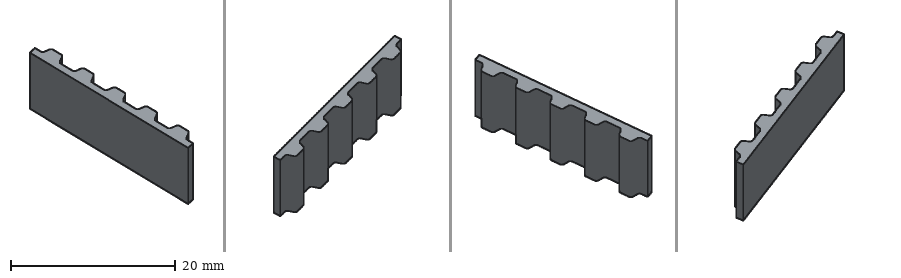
import cadquery as cq
import math

tooth_count = 5
pitch = 5.0
belt_width = 10.0
back_thickness = 1.0
tooth_height = 1.2
tooth_root_width = 2.65
flank_angle = 20.0
root_radius = 0.4
tip_radius = 0.4

belt_length = tooth_count * pitch
tip_level = back_thickness + tooth_height
flank_run = tooth_height * math.tan(math.radians(flank_angle))
root_half = tooth_root_width / 2
tip_half = root_half - flank_run
tooth_centers = [(i - (tooth_count - 1) / 2) * pitch for i in range(tooth_count)]


def tooth_corners(center):
    """Sharp corners of one tooth, from left to right."""
    return [
        (center - root_half, back_thickness),
        (center - tip_half, tip_level),
        (center + tip_half, tip_level),
        (center + root_half, back_thickness),
    ]


def belt_blank():
    """Belt with sharp-cornered teeth."""
    outline = [(-belt_length / 2, 0), (-belt_length / 2, back_thickness)]
    for center in tooth_centers:
        outline += tooth_corners(center)
    outline += [(belt_length / 2, back_thickness), (belt_length / 2, 0)]
    return cq.Workplane("XY").polyline(outline).close().extrude(belt_width)


def round_corners(belt, half_spacing, level, radius):
    """Round the pair of Z edges at the given level on every tooth."""
    points = [
        cq.Vector(center + side * half_spacing, level, belt_width / 2)
        for center in tooth_centers
        for side in (-1, 1)
    ]
    tolerance = 0.002
    corner_edges = belt.edges("|Z").filter(
        lambda edge: any((edge.Center() - point).Length < tolerance for point in points)
    )
    return corner_edges.fillet(radius)


belt = belt_blank()
belt = round_corners(belt, root_half, back_thickness, root_radius)
result = round_corners(belt, tip_half, tip_level, tip_radius)